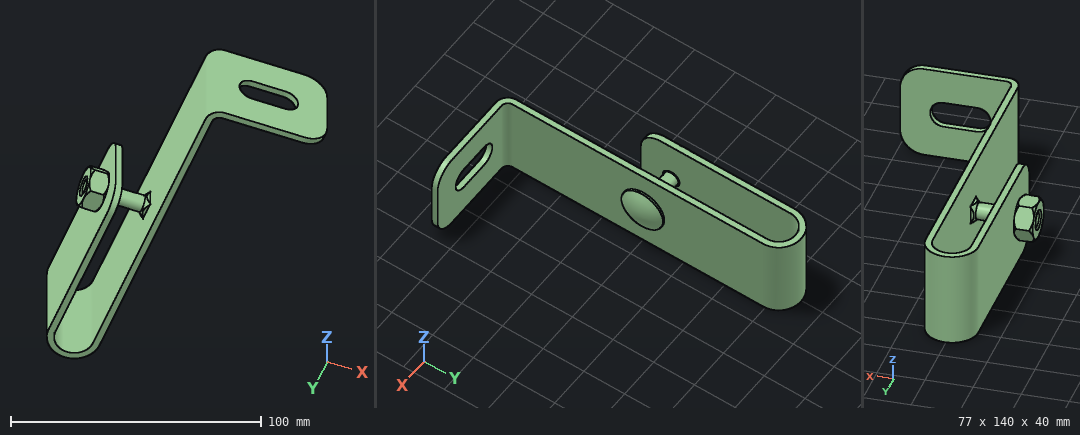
import cadquery as cq
import math


overall_width = 77.0
overall_length = 140.0
strip_width = 40.0
thickness = 3.0
loop_width = 22.0
short_arm_end_y = 55.5
bend_radius = 6.0
corner_radius = 10.0
slot_length = 25.0
slot_height = 11.0
slot_center_to_foot_end = 25.0

bolt_y = 70.4
nut_height = 8.0
nut_across_flats = 16.1
thread_diameter = 8.3
shank_diameter = 7.0
tip_recess = 0.5
tip_chamfer = 1.1
neck_side = 8.1
neck_reach = 2.0
head_diameter = 20.5
head_rim = 1.0
head_height = 4.3

foot_end_x = overall_width - nut_height
loop_radius = loop_width / 2
loop_center_y = overall_length - loop_radius
wall_inner_x = loop_width - thickness
bend_center_x = wall_inner_x + bend_radius
slot_center_x = foot_end_x - slot_center_to_foot_end
thread_radius = thread_diameter / 2
shank_radius = shank_diameter / 2


def along_x(x):
    """Work plane on the bolt axis at x, with its normal along +X."""
    return cq.Workplane("YZ", origin=(x, bolt_y, 0))


def make_strip_blank():
    """J-shaped strip: short arm, half-round loop, long wall, bend and foot."""
    inner_radius = loop_radius - thickness
    bend_inner = bend_radius - thickness
    diagonal = math.sqrt(0.5)
    return (
        cq.Workplane("XY", origin=(0, 0, -strip_width / 2))
        .moveTo(0, short_arm_end_y)
        .lineTo(0, loop_center_y)
        .threePointArc((loop_radius, overall_length), (loop_width, loop_center_y))
        .lineTo(loop_width, bend_radius)
        .threePointArc(
            (bend_center_x - bend_inner * diagonal, bend_radius - bend_inner * diagonal),
            (bend_center_x, thickness),
        )
        .lineTo(foot_end_x, thickness)
        .lineTo(foot_end_x, 0)
        .lineTo(bend_center_x, 0)
        .threePointArc(
            (bend_center_x - bend_radius * diagonal, bend_radius - bend_radius * diagonal),
            (wall_inner_x, bend_radius),
        )
        .lineTo(wall_inner_x, loop_center_y)
        .threePointArc(
            (loop_radius, loop_center_y + inner_radius),
            (thickness, loop_center_y),
        )
        .lineTo(thickness, short_arm_end_y)
        .close()
        .extrude(strip_width)
    )


def make_strip():
    strip = make_strip_blank()
    strip = strip.faces(">X").edges("|Y").fillet(corner_radius)
    short_arm_corners = cq.selectors.BoxSelector(
        (-thickness, short_arm_end_y - thickness, -strip_width),
        (2 * thickness, short_arm_end_y + thickness, strip_width),
    )
    strip = strip.edges("|X").edges(short_arm_corners).fillet(corner_radius)

    slot = (
        cq.Workplane("XZ", origin=(slot_center_x, thickness, 0))
        .slot2D(slot_length, slot_height)
        .extrude(thickness)
    )
    thread_hole = along_x(0).circle(thread_radius).extrude(thickness)
    neck_hole = along_x(wall_inner_x).rect(neck_side, neck_side).extrude(thickness)
    return strip.cut(slot).cut(thread_hole).cut(neck_hole)


def make_nut():
    """Hexagon nut, flats on top and bottom, corners chamfered at both ends."""
    across_corners = nut_across_flats / math.cos(math.pi / 6)
    corner_chamfer = (across_corners - nut_across_flats) / 2
    hexagon = along_x(-nut_height).polygon(6, across_corners).extrude(nut_height)
    envelope = (
        along_x(-nut_height)
        .circle(across_corners / 2)
        .extrude(nut_height)
        .faces("<X or >X")
        .chamfer(corner_chamfer)
    )
    bore = along_x(-nut_height).circle(thread_radius).extrude(nut_height)
    return hexagon.intersect(envelope).cut(bore)


def make_head():
    """Domed head with a thin cylindrical rim, revolved about the bolt axis."""
    radius = head_diameter / 2
    dome_rise = head_height - head_rim
    sphere_radius = (radius**2 + dome_rise**2) / (2 * dome_rise)
    mid_radius = radius / 2
    mid_x = head_height - sphere_radius + math.sqrt(sphere_radius**2 - mid_radius**2)
    return (
        cq.Workplane("XY", origin=(loop_width, bolt_y, 0))
        .lineTo(0, radius)
        .lineTo(head_rim, radius)
        .threePointArc((mid_x, mid_radius), (head_height, 0))
        .close()
        .revolve(360, (0, 0), (1, 0))
    )


def make_neck():
    """Square neck whose front corners are turned down to the shank by a 45 degree cone."""
    neck_length = thickness + neck_reach
    start_x = wall_inner_x - neck_reach
    square = along_x(start_x).rect(neck_side, neck_side).extrude(neck_length)
    cone = cq.Workplane(
        cq.Solid.makeCone(
            shank_radius,
            shank_radius + neck_length,
            neck_length,
            cq.Vector(start_x, bolt_y, 0),
            cq.Vector(1, 0, 0),
        )
    )
    return square.intersect(cone)


def make_bolt():
    tip_x = tip_recess - nut_height
    thread = (
        along_x(tip_x)
        .circle(thread_radius)
        .extrude(thickness - tip_x)
        .faces("<X")
        .chamfer(tip_chamfer)
    )
    shank = along_x(thickness).circle(shank_radius).extrude(wall_inner_x - thickness)
    return thread.union(shank).union(make_neck()).union(make_head())


strip = make_strip()
nut = make_nut()
bolt = make_bolt()

result = cq.Compound.makeCompound([body.solids().val() for body in (strip, nut, bolt)])